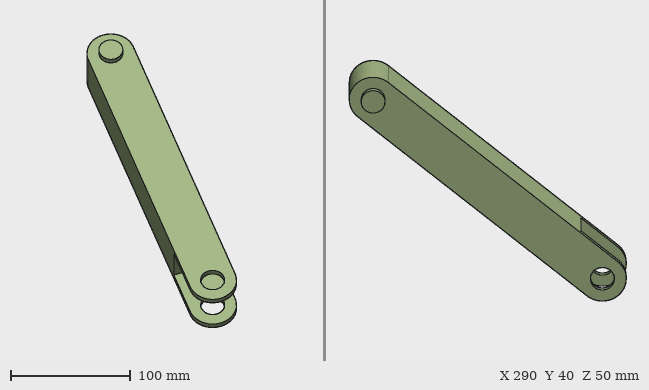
import cadquery as cq

pivot_spacing = 250.0
arm_width = 40.0
arm_height = 40.0
pivot_diameter = 20.0
pin_protrusion = 5.0
fork_plate_thickness = 5.0
fork_depth = 60.0

arm_length = pivot_spacing + arm_width
pin_length = arm_height + 2 * pin_protrusion
fork_gap = arm_height - 2 * fork_plate_thickness
fork_tip_x = pivot_spacing + arm_width / 2


def make_arm():
    """Round-ended bar with the pin axis at the origin, centred on Z = 0."""
    return (
        cq.Workplane("XY")
        .center(pivot_spacing / 2, 0)
        .slot2D(arm_length, arm_width)
        .extrude(arm_height / 2, both=True)
    )


def make_pivot_cylinder(x, length):
    """Vertical cylinder of the pivot diameter, centred on Z = 0."""
    return (
        cq.Workplane("XY")
        .center(x, 0)
        .circle(pivot_diameter / 2)
        .extrude(length / 2, both=True)
    )


def make_fork_gap():
    """Rectangular opening that splits the far end into two plates."""
    return (
        cq.Workplane("XY")
        .box(fork_depth, arm_width, fork_gap)
        .translate((fork_tip_x - fork_depth / 2, 0, 0))
    )


pin = make_pivot_cylinder(0, pin_length)
fork_hole = make_pivot_cylinder(pivot_spacing, arm_height)

result = make_arm().union(pin).cut(make_fork_gap()).cut(fork_hole)